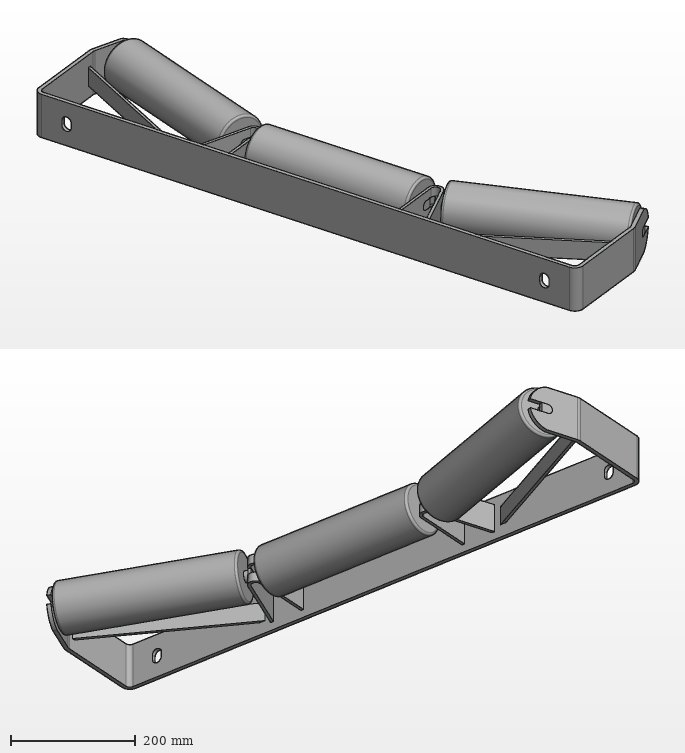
import cadquery as cq
import math


frame_length = 1050.0
frame_width = 80.0
frame_thickness = 7.0
corner_radius = 16.0
bend_radius = 19.0
tilt = 20.0

roller_diameter = 89.0
roller_length = 313.0
roller_edge_radius = 4.0
shaft_diameter = 20.0
seat_width = 17.0
centre_roller_y = 101.0
side_roller_x = 345.0
side_roller_y = 165.0
side_reach = 169.0
centre_reach = 167.0

arm_overhang = 33.0
arm_tip_radius = 41.0

bracket_thickness = 5.0
bracket_width = 50.0
fold_radius = 8.0

brace_thickness = 5.0
brace_width = 34.0
brace_top_y = 151.0
brace_foot_x = 246.0

mount_hole_x = 461.0
mount_hole_width = 18.0
mount_hole_height = 26.0

half_length = frame_length / 2
half_frame_width = frame_width / 2
wall_x = half_length - frame_thickness
half_seat = seat_width / 2
shaft_radius = shaft_diameter / 2
tilt_angle = math.radians(tilt)
sin_tilt = math.sin(tilt_angle)
cos_tilt = math.cos(tilt_angle)


def mirrored(body):
    """Right-hand copy of a left-hand body."""
    return body.mirror("YZ")


def on_left_roller(body):
    """Move a body built along X about the origin onto the left side roller's axis."""
    return body.rotate((0, 0, 0), (0, 0, 1), -tilt).translate((-side_roller_x, side_roller_y, 0))


def on_centre_roller(body):
    """Move a body built about the origin onto the centre roller's axis."""
    return body.translate((0, centre_roller_y, 0))


def left_roller_point(along, up):
    """XY point at a distance along the left side roller's axis and a height square to it."""
    return (
        -side_roller_x + along * cos_tilt + up * sin_tilt,
        side_roller_y - along * sin_tilt + up * cos_tilt,
    )


def height_at_reach(x, reach):
    """Y of the point at x that lies a given distance along the left side roller's axis."""
    return side_roller_y + ((x + side_roller_x) * cos_tilt - reach) / sin_tilt


def near(x, y):
    return cq.selectors.NearestToPointSelector((x, y, 0))


def seat_bar(start, end, top):
    """Round-bottomed bar along X, as wide as a seat, about a roller axis at the origin."""
    bottom = -shaft_radius
    return (
        cq.Workplane("YZ", origin=(start, 0, 0))
        .moveTo(top, -half_seat)
        .lineTo(bottom + half_seat, -half_seat)
        .threePointArc((bottom, 0), (bottom + half_seat, half_seat))
        .lineTo(top, half_seat)
        .close()
        .extrude(end - start)
    )


def roller(reach, left_plate, right_plate):
    """Roller about the origin; each shaft end runs through a plate of the given thickness."""
    drum = (
        cq.Workplane("YZ", origin=(-roller_length / 2, 0, 0))
        .circle(roller_diameter / 2)
        .extrude(roller_length)
        .edges("%CIRCLE")
        .fillet(roller_edge_radius)
    )
    shaft_start = left_plate - reach
    shaft_end = reach - right_plate
    shaft = (
        cq.Workplane("YZ", origin=(shaft_start, 0, 0))
        .circle(shaft_radius)
        .extrude(shaft_end - shaft_start)
    )
    left_tenon = seat_bar(-reach, shaft_start, shaft_radius)
    right_tenon = seat_bar(shaft_end, reach, shaft_radius)
    return drum.union(shaft).union(left_tenon).union(right_tenon)


def arm_trim():
    """Material beyond the round tip of the left arm, with the roller axis at the origin."""
    shoulder = arm_overhang - arm_tip_radius + math.sqrt(arm_tip_radius**2 - half_frame_width**2)
    beyond_tip = arm_overhang + frame_thickness
    return (
        cq.Workplane("YZ", origin=(-side_reach - frame_thickness, 0, 0))
        .moveTo(shoulder, -half_frame_width)
        .threePointArc((arm_overhang, 0), (shoulder, half_frame_width))
        .lineTo(beyond_tip, half_frame_width)
        .lineTo(beyond_tip, -half_frame_width)
        .close()
        .extrude(3 * frame_thickness)
    )


def arm_seat():
    return seat_bar(
        -side_reach - frame_thickness,
        -side_reach + 2 * frame_thickness,
        arm_overhang + frame_thickness,
    )


def mount_hole():
    return (
        cq.Workplane("XZ")
        .center(-mount_hole_x, 0)
        .slot2D(mount_hole_height, mount_hole_width, 90)
        .extrude(-frame_thickness)
    )


def frame():
    inner_reach = -side_reach + frame_thickness
    outer_bend_y = height_at_reach(-half_length, -side_reach)
    inner_bend_y = height_at_reach(-wall_x, inner_reach)
    half = (
        cq.Workplane("XY")
        .lineTo(-half_length, 0)
        .lineTo(-half_length, outer_bend_y)
        .lineTo(*left_roller_point(-side_reach, arm_overhang))
        .lineTo(*left_roller_point(inner_reach, arm_overhang))
        .lineTo(-wall_x, inner_bend_y)
        .lineTo(-wall_x, frame_thickness)
        .lineTo(0, frame_thickness)
        .close()
        .extrude(half_frame_width, both=True)
    )
    rounded_edges = [
        (-half_length, 0, corner_radius),
        (-wall_x, frame_thickness, corner_radius - frame_thickness),
        (-half_length, outer_bend_y, bend_radius),
        (-wall_x, inner_bend_y, bend_radius - frame_thickness),
    ]
    for x, y, radius in rounded_edges:
        half = half.edges("|Z").edges(near(x, y)).fillet(radius)
    half = half.cut(on_left_roller(arm_trim())).cut(on_left_roller(arm_seat())).cut(mount_hole())
    return half.union(mirrored(half))


def bracket():
    """Left bracket: sloping leg for the side roller, upright leg for the centre roller."""
    outer_radius = fold_radius + bracket_thickness
    fold_x = -centre_reach - fold_radius
    fold_y = height_at_reach(fold_x, side_reach + fold_radius)
    leg_face = side_reach - bracket_thickness
    upright_face = -centre_reach + bracket_thickness

    def foot(reach):
        """X where a face of the sloping leg meets the frame base."""
        return -side_roller_x + (reach + (frame_thickness - side_roller_y) * sin_tilt) / cos_tilt

    def leg_tangent(radius):
        return (fold_x - radius * cos_tilt, fold_y + radius * sin_tilt)

    strip = (
        cq.Workplane("XY")
        .moveTo(foot(leg_face), frame_thickness)
        .lineTo(*leg_tangent(outer_radius))
        .threePointArc((fold_x, fold_y + outer_radius), (upright_face, fold_y))
        .lineTo(upright_face, frame_thickness)
        .lineTo(-centre_reach, frame_thickness)
        .lineTo(-centre_reach, fold_y)
        .threePointArc((fold_x, fold_y + fold_radius), leg_tangent(fold_radius))
        .lineTo(foot(side_reach), frame_thickness)
        .close()
        .extrude(bracket_width / 2, both=True)
    )
    seat_top = fold_y + outer_radius - centre_roller_y
    leg_seat = seat_bar(leg_face - fold_radius, side_reach + fold_radius, seat_top)
    upright_seat = seat_bar(fold_x - fold_radius, upright_face, seat_top)
    return strip.cut(on_left_roller(leg_seat)).cut(on_centre_roller(upright_seat))


def brace():
    """Left brace, its ends cut flush with the frame wall and base."""
    run = wall_x - brace_foot_x
    rise = brace_top_y - frame_thickness
    length = math.hypot(run, rise)
    half_cut_x = brace_thickness * length / rise / 2
    half_cut_y = brace_thickness * length / run / 2
    return (
        cq.Workplane("XY")
        .moveTo(-wall_x, brace_top_y - half_cut_y)
        .lineTo(-wall_x, brace_top_y + half_cut_y)
        .lineTo(-brace_foot_x + half_cut_x, frame_thickness)
        .lineTo(-brace_foot_x - half_cut_x, frame_thickness)
        .close()
        .extrude(brace_width / 2, both=True)
    )


centre_roller = on_centre_roller(roller(centre_reach, bracket_thickness, bracket_thickness))
bodies = [frame().solids().val(), centre_roller.solids().val()]
for left_body in (
    on_left_roller(roller(side_reach, frame_thickness, bracket_thickness)),
    bracket(),
    brace(),
):
    bodies += [left_body.solids().val(), mirrored(left_body).solids().val()]

result = cq.Compound.makeCompound(bodies)